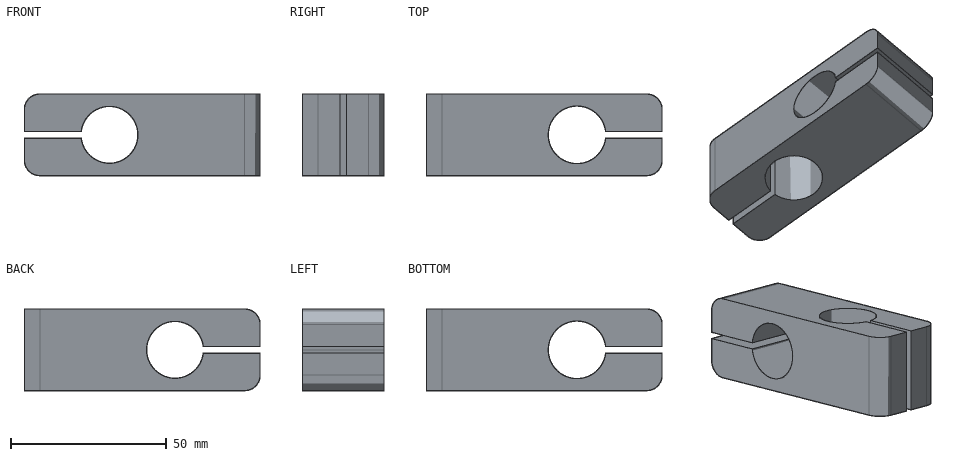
import cadquery as cq

length = 76.0
side = 26.4
corner_radius = 5.0

cross_bore_diameter = 18.25
vertical_bore_diameter = 18.5
bore_to_end = 27.4
slot_width = 2.05
bore_offset = length / 2 - bore_to_end


def clamp_cut(workplane, direction, diameter):
    """Through bore with a slot running out to the end at direction * X."""
    bore = workplane.center(direction * bore_offset, 0).circle(diameter / 2).extrude(side / 2, both=True)
    slot = (
        workplane.center(direction * (length / 2 - bore_to_end / 2), 0)
        .rect(bore_to_end, slot_width)
        .extrude(side / 2, both=True)
    )
    return bore.union(slot)


block = cq.Workplane("XY").box(length, side, side)

block = block.faces("<X").edges("|Y").fillet(corner_radius)
block = block.faces(">X").edges("|Z").fillet(corner_radius)

cross_clamp = clamp_cut(cq.Workplane("XZ"), -1, cross_bore_diameter)
vertical_clamp = clamp_cut(cq.Workplane("XY"), 1, vertical_bore_diameter)

result = block.cut(cross_clamp).cut(vertical_clamp)